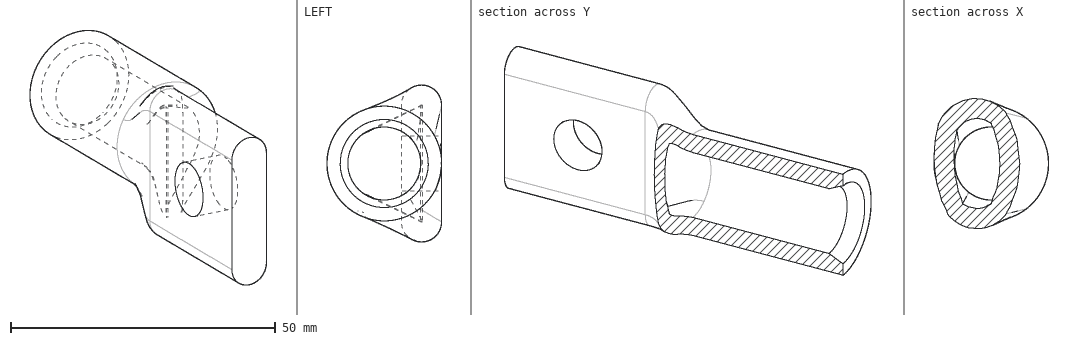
import cadquery as cq
import math

total_length = 75.45
barrel_diameter = 21.7
barrel_length = 32.6
palm_start = 44.8
palm_thickness = 7.6
palm_height = 29.7
bolt_hole_diameter = 10.5
bolt_hole_x = 59.45

bore_diameter = 13.8
mouth_diameter = 16.7
mouth_depth = 3.0
slit_thickness = 0.3

barrel_radius = barrel_diameter / 2
palm_center_y = palm_thickness / 2 - barrel_radius
slit_height = palm_height - palm_thickness

front_seam_top = 29.0
front_seam_bottom = 52.0
back_seam = 52.0
blend_steps = 6


def ring_points(radius):
    """Points on the round end: four seams, each followed by the middle of its arc."""
    seams = [
        180 - front_seam_top,
        back_seam,
        -back_seam,
        front_seam_bottom - 180,
        -180 - front_seam_top,
    ]
    points = []
    for start, end in zip(seams, seams[1:]):
        for angle in (start, (start + end) / 2):
            turn = math.radians(angle)
            points.append((radius * math.cos(turn), radius * math.sin(turn)))
    return points


def flat_points(thickness, height):
    """Points on the flat, round-ended profile, in the same order as ring_points."""
    front = palm_center_y - thickness / 2
    back = palm_center_y + thickness / 2
    top = height / 2
    corner = top - thickness / 2
    return [
        (front, corner),
        (palm_center_y, top),
        (back, corner),
        (back, 0),
        (back, -corner),
        (palm_center_y, -top),
        (front, -corner),
        (front, 0),
    ]


def profile_wire(x, points):
    """Closed four-sided profile at x; the two broad sides straighten at the palm."""
    corners = [cq.Vector(x, y, z) for y, z in points]
    edges = []
    for i in range(0, len(corners), 2):
        start, middle, end = corners[i], corners[i + 1], corners[(i + 2) % len(corners)]
        is_broad_side = i in (2, 6)
        if is_broad_side and x == palm_start:
            edges.append(cq.Edge.makeLine(start, end))
        else:
            edges.append(cq.Edge.makeThreePointArc(start, middle, end))
    return cq.Wire.assembleEdges(edges)


def transition(radius, thickness, height):
    """Smooth S-shaped blend from the round profile to the flat one."""
    ring = ring_points(radius)
    flat = flat_points(thickness, height)
    wires = []
    for step in range(blend_steps + 1):
        fraction = step / blend_steps
        x = palm_start - (1 - fraction) * (palm_start - barrel_length)
        ease = fraction**2 * (3 - 2 * fraction)
        points = [
            (y0 + ease * (y1 - y0), z0 + ease * (z1 - z0))
            for (y0, z0), (y1, z1) in zip(ring, flat)
        ]
        wires.append(profile_wire(x, points))
    return cq.Workplane(obj=cq.Solid.makeLoft(wires))


def palm():
    profile = profile_wire(palm_start, flat_points(palm_thickness, palm_height))
    length = cq.Vector(total_length - palm_start, 0, 0)
    return cq.Workplane(obj=cq.Solid.extrudeLinear(profile, [], length))


def mouth():
    return cq.Workplane(
        obj=cq.Solid.makeCone(
            mouth_diameter / 2, bore_diameter / 2, mouth_depth, cq.Vector(0, 0, 0), cq.Vector(1, 0, 0)
        )
    )


def bolt_hole():
    return (
        cq.Workplane("XZ")
        .center(bolt_hole_x, 0)
        .circle(bolt_hole_diameter / 2)
        .extrude(barrel_diameter, both=True)
    )


barrel = cq.Workplane("YZ").circle(barrel_radius).extrude(barrel_length)
bore = cq.Workplane("YZ").circle(bore_diameter / 2).extrude(barrel_length)

result = (
    barrel.union(transition(barrel_radius, palm_thickness, palm_height))
    .union(palm())
    .cut(bore)
    .cut(transition(bore_diameter / 2, slit_thickness, slit_height))
    .cut(mouth())
    .cut(bolt_hole())
)